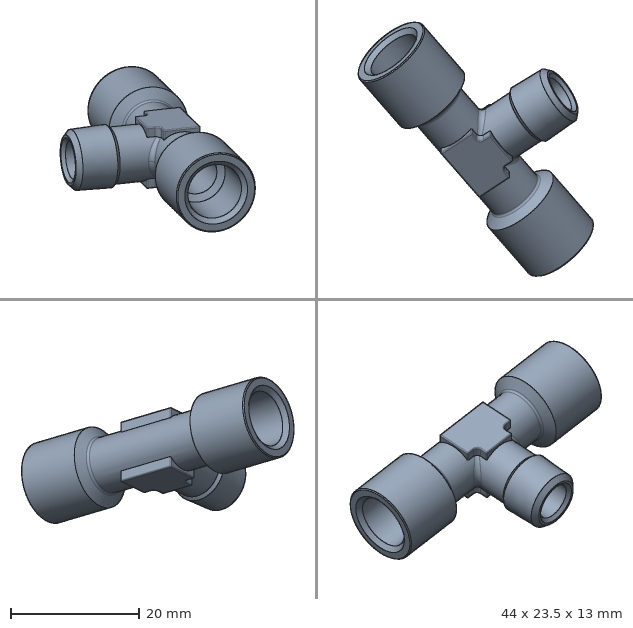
import cadquery as cq
import math

run_length = 44.0
socket_radius = 6.49
socket_length = 10.55
socket_rim_chamfer = 0.18
neck_radius = 4.5
shoulder_angle = 30.0
shoulder_fillet = 0.5

thread_radius = 4.4
thread_mouth_radius = 5.15
thread_depth = 8.8
run_bore_radius = 3.25

branch_reach = 17.0
step_start = 9.95
step_end = 10.45
male_base_radius = 4.95
male_tip_radius = 4.8
tip_chamfer = 0.85
branch_bore_radius = 3.0
branch_mouth_radius = 3.55

block_half_width = 4.95
block_half_height = 5.0
block_back = 3.1
block_front = 2.9
tongue_half_width = 2.9
tongue_front = 5.0
corner_fillet = 0.8
block_edge_fillet = 0.18

half_run = run_length / 2


def run_body():
    """Revolved pipe with a socket, a conical shoulder and a neck on both sides."""
    shoulder_outer = half_run - socket_length
    shoulder_length = (socket_radius - neck_radius) * math.tan(math.radians(shoulder_angle))
    shoulder_inner = shoulder_outer - shoulder_length
    half = (
        cq.Workplane("XY")
        .polyline([
            (0, 0),
            (0, neck_radius),
            (shoulder_inner, neck_radius),
            (shoulder_outer, socket_radius),
            (half_run, socket_radius),
            (half_run, 0),
        ])
        .close()
        .revolve(360, (0, 0, 0), (1, 0, 0))
    )
    half = half.faces(">X").edges().chamfer(socket_rim_chamfer)
    neck_corner = cq.selectors.NearestToPointSelector((shoulder_inner, 0, 0))
    half = half.edges("%CIRCLE").edges(neck_corner).fillet(shoulder_fillet)
    return half.union(half.mirror("YZ"))


def branch_body():
    """Revolved branch: plain neck, conical step, tapered male end and tip chamfer."""
    return (
        cq.Workplane("XY")
        .polyline([
            (0, 0),
            (neck_radius, 0),
            (neck_radius, -step_start),
            (male_base_radius, -step_end),
            (male_tip_radius, -branch_reach + tip_chamfer),
            (male_tip_radius - tip_chamfer, -branch_reach),
            (0, -branch_reach),
        ])
        .close()
        .revolve(360, (0, 0, 0), (0, 1, 0))
    )


def crossing_block():
    """T-shaped prism with filleted inside corners and rounded outer edges."""
    main = (
        cq.Workplane("XY")
        .box(2 * block_half_width, block_back + block_front, 2 * block_half_height)
        .translate((0, (block_back - block_front) / 2, 0))
    )
    tongue = (
        cq.Workplane("XY")
        .box(2 * tongue_half_width, tongue_front, 2 * block_half_height)
        .translate((0, -tongue_front / 2, 0))
    )
    margin = 0.05
    inside_corners = cq.selectors.BoxSelector(
        (-tongue_half_width - margin, -block_front - margin, -margin),
        (tongue_half_width + margin, -block_front + margin, margin),
    )
    block = main.union(tongue).edges("|Z").edges(inside_corners).fillet(corner_fillet)
    block = block.edges("|Z and (>X or <X or <Y)").fillet(block_edge_fillet)
    return block.faces("|Z").edges().fillet(block_edge_fillet)


def run_bore():
    """Countersunk socket bores with conical bottoms, joined by the through bore."""
    mouth_depth = thread_mouth_radius - thread_radius
    cone_length = (thread_radius - run_bore_radius) * math.tan(math.radians(shoulder_angle))
    half = (
        cq.Workplane("XY")
        .polyline([
            (0, 0),
            (0, run_bore_radius),
            (half_run - thread_depth - cone_length, run_bore_radius),
            (half_run - thread_depth, thread_radius),
            (half_run - mouth_depth, thread_radius),
            (half_run, thread_mouth_radius),
            (half_run, 0),
        ])
        .close()
        .revolve(360, (0, 0, 0), (1, 0, 0))
    )
    return half.union(half.mirror("YZ"))


def branch_bore():
    """Branch bore with a countersunk mouth, opening into the run bore."""
    mouth_depth = branch_mouth_radius - branch_bore_radius
    return (
        cq.Workplane("XY")
        .polyline([
            (0, 0),
            (branch_bore_radius, 0),
            (branch_bore_radius, -branch_reach + mouth_depth),
            (branch_mouth_radius, -branch_reach),
            (0, -branch_reach),
        ])
        .close()
        .revolve(360, (0, 0, 0), (0, 1, 0))
    )


def fillet_crotches(body):
    """Round the two curved corners where the run meets the branch, between the block faces."""
    for side in (-1, 1):
        crotch = cq.selectors.BoxSelector(
            (side * block_front, -block_front, -neck_radius),
            (side * block_half_width, -block_half_width, neck_radius),
        )
        body = body.edges("%ELLIPSE").edges(crotch).fillet(corner_fillet)
    return body


solid_tee = fillet_crotches(run_body().union(branch_body()).union(crossing_block()))
result = solid_tee.cut(run_bore()).cut(branch_bore())